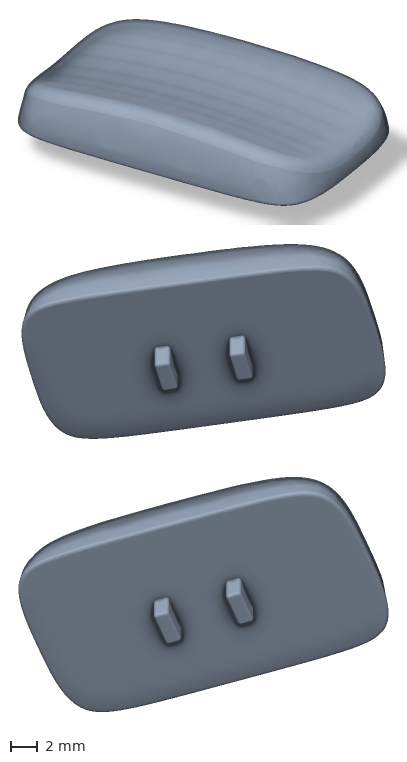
import cadquery as cq
import math

half_length = 13.24
half_width = 8.23
wall_top = 5.3
base_radius = 0.26
rim_radius = 1.22

wall_levels = [
    (0.0, 0.0, 0.0, 1.0),
    (2.12, 0.15, 0.3, 0.95),
    (wall_top, 1.38, 2.5, 0.72),
]

side_reach = 0.86
end_reach = 0.9
end_mid_reach = 0.5

dish_centre_z = 3.52
dish_radius = 25.15
crown_radius = 68.82
dish_half_width = 10.6
dish_floor = -7.95
crown_sweep = 30.0

prong_spacing = 5.75
prong_thickness = 1.2
prong_width = 3.05
prong_depth = 1.8
prong_radius = 0.25
prong_overlap = 0.53


def wall_outline(height, end_inset, side_inset, fullness):
    """Soft rounded rectangle made of four matching quarter curves."""
    x = half_length - end_inset
    y = half_width - side_inset
    quarter = [
        (0, y),
        (x * side_reach * fullness, y),
        (x * side_reach * fullness, y),
        (x, y * end_reach * fullness),
        (x, y * end_mid_reach * fullness),
        (x, 0),
    ]
    edges = []
    for sx, sy in [(1, 1), (1, -1), (-1, -1), (-1, 1)]:
        poles = [cq.Vector(sx * px, sy * py, height) for px, py in quarter]
        if sx != sy:
            poles.reverse()
        edges.append(cq.Edge.makeBezier(poles))
    return cq.Wire.assembleEdges(edges)


def make_walls():
    outlines = [wall_outline(*level) for level in wall_levels]
    return cq.Workplane(cq.Solid.makeLoft(outlines))


def make_dish_body():
    """Everything below the saddle: a dished profile swung about a far axis along Y."""
    edge_z = dish_centre_z + dish_radius - math.sqrt(dish_radius**2 - dish_half_width**2)
    axis_z = dish_centre_z - crown_radius
    return (
        cq.Workplane("YZ")
        .moveTo(-dish_half_width, dish_floor)
        .lineTo(dish_half_width, dish_floor)
        .lineTo(dish_half_width, edge_z)
        .threePointArc((0, dish_centre_z), (-dish_half_width, edge_z))
        .close()
        .revolve(crown_sweep, (0, axis_z), (1, axis_z))
        .rotate((0, 0, axis_z), (0, 1, axis_z), -crown_sweep / 2)
    )


def make_cap():
    cap = make_walls().intersect(make_dish_body())
    dish_centre = cq.selectors.NearestToPointSelector((0, 0, dish_centre_z))
    cap = cap.faces(dish_centre).edges().fillet(rim_radius)
    return cap.faces("<Z").edges().fillet(base_radius)


def make_prong(x):
    return (
        cq.Workplane("XY", origin=(x, 0, -prong_depth))
        .rect(prong_thickness, prong_width)
        .extrude(prong_depth + prong_overlap)
        .edges("|Z or <Z")
        .fillet(prong_radius)
    )


result = make_cap()
for side in (-1, 1):
    result = result.union(make_prong(side * prong_spacing / 2))